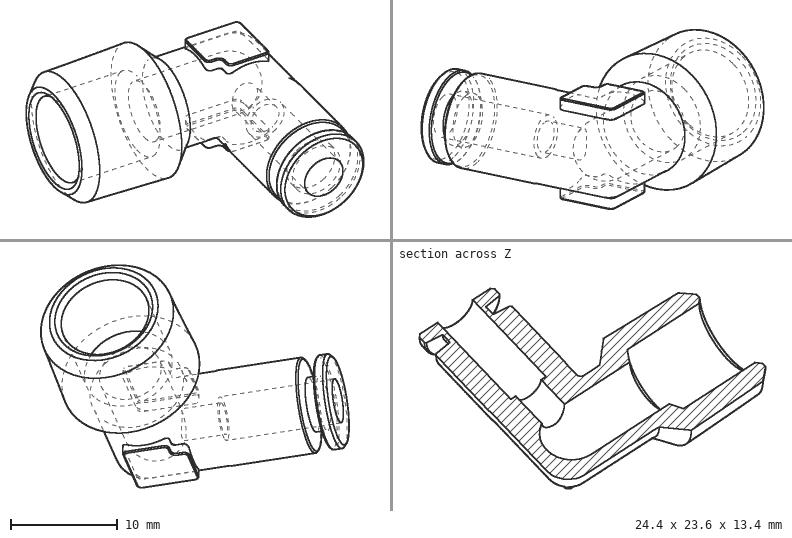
import cadquery as cq
import math


ELBOW_R = 9.0 / 2
OUTER_CORNER_R = 2.49
INNER_CORNER_R = 0.49
MITRE_BAND_Z = 4.44

COLLAR_R = 4.53
COLLAR_START_Y = -6.55
COLLAR_END_Y = -6.88
THREAD_LARGE_R = 6.68
THREAD_SMALL_R = 6.44
THREAD_START_Y = COLLAR_END_Y - (THREAD_LARGE_R - COLLAR_R)
THREAD_END_Y = -19.0
THREAD_CHAMFER_LENGTH = 1.25
THREAD_FACE_R = 5.27

SLEEVE_R = 9.1 / 2
SLEEVE_START_X = 6.58
SLEEVE_LEAD_IN = 0.2
SLEEVE_END_X = 15.0
SLEEVE_CHAMFER = 0.17
SLEEVE_FACE_RISE = 0.22
BUTTON_NECK_R = 5.2 / 2
BUTTON_R = 9.0 / 2
BUTTON_END_X = 17.7
BUTTON_LENGTH = 1.22
BUTTON_EDGE = 0.15
BUTTON_CHAMFER = 0.3
BUTTON_FACE_RISE = 0.2

FLOW_R = 6.0 / 2
ENTRY_R = 8.5 / 2
ENTRY_CHAMFER = 0.49
ENTRY_END_Y = -10.0
ENTRY_CONE_ANGLE = 60
FLOW_START_Y = ENTRY_END_Y + (ENTRY_R - FLOW_R) / math.tan(math.radians(ENTRY_CONE_ANGLE))
TUBE_R = 4.15 / 2
TUBE_STOP_X = SLEEVE_START_X
PORT_R = 3.0 / 2

PAD_SIZE = 6.0
PAD_NEAR = 2.25
PAD_NOTCH = 1.5
PAD_CORNER_R = 0.49
PAD_BOTTOM_Z = 3.9
PAD_TOP_Z = 5.02
PAD_EDGE_CHAMFER = 0.12


def revolve_about_y(points):
    """Revolve a closed (radius, y) profile about the thread axis."""
    return cq.Workplane("XY").polyline(points).close().revolve(360, (0, 0), (0, 1))


def revolve_about_x(points):
    """Revolve a closed (x, radius) profile about the tube axis."""
    return cq.Workplane("XY").polyline(points).close().revolve(360, (0, 0), (1, 0))


def mitred_elbow():
    """Two equal cylinders meeting on a diagonal plane, with rounded mitre edges."""
    reach_x = SLEEVE_START_X
    reach_y = -COLLAR_START_Y
    overrun = 2 * ELBOW_R
    tube_leg = cq.Workplane("YZ", origin=(-overrun, 0, 0)).circle(ELBOW_R).extrude(overrun + reach_x)
    thread_leg = cq.Workplane("XZ", origin=(0, overrun, 0)).circle(ELBOW_R).extrude(overrun + reach_y)
    far = 4 * ELBOW_R
    tube_side = (
        cq.Workplane("XY", origin=(0, 0, -far))
        .polyline([(-far, far), (far, far), (far, -far)])
        .close()
        .extrude(2 * far)
    )
    elbow = tube_leg.intersect(tube_side).union(thread_leg.cut(tube_side))
    band = cq.Workplane("XY").box(2 * far, 2 * far, 2 * MITRE_BAND_Z)
    rounded = elbow.intersect(band)
    rounded = rounded.edges("%ELLIPSE").edges("<X").fillet(OUTER_CORNER_R)
    rounded = rounded.edges("%ELLIPSE").edges(">X").fillet(INNER_CORNER_R)
    crowns = elbow.cut(band)
    return rounded.union(crowns)


def threaded_end():
    return revolve_about_y([
        (0, COLLAR_START_Y),
        (ELBOW_R, COLLAR_START_Y),
        (COLLAR_R, COLLAR_END_Y),
        (THREAD_LARGE_R, THREAD_START_Y),
        (THREAD_SMALL_R, THREAD_END_Y + THREAD_CHAMFER_LENGTH),
        (THREAD_FACE_R, THREAD_END_Y),
        (0, THREAD_END_Y),
    ])


def tube_end():
    button_start = BUTTON_END_X - BUTTON_LENGTH
    return revolve_about_x([
        (SLEEVE_START_X, 0),
        (SLEEVE_START_X, ELBOW_R),
        (SLEEVE_START_X + SLEEVE_LEAD_IN, SLEEVE_R),
        (SLEEVE_END_X - SLEEVE_CHAMFER, SLEEVE_R),
        (SLEEVE_END_X, SLEEVE_R - SLEEVE_CHAMFER),
        (SLEEVE_END_X + SLEEVE_FACE_RISE, BUTTON_NECK_R),
        (button_start - BUTTON_FACE_RISE, BUTTON_NECK_R),
        (button_start, BUTTON_R - BUTTON_EDGE),
        (button_start + BUTTON_EDGE, BUTTON_R),
        (BUTTON_END_X - BUTTON_CHAMFER, BUTTON_R),
        (BUTTON_END_X, BUTTON_R - BUTTON_CHAMFER),
        (BUTTON_END_X, 0),
    ])


def upper_pad():
    far_side = PAD_SIZE - PAD_NEAR
    notch_side = far_side - PAD_NOTCH
    return (
        cq.Workplane("XY", origin=(0, 0, PAD_BOTTOM_Z))
        .polyline([
            (-PAD_NEAR, PAD_NEAR),
            (far_side, PAD_NEAR),
            (far_side, -notch_side),
            (notch_side, -notch_side),
            (notch_side, -far_side),
            (-PAD_NEAR, -far_side),
        ])
        .close()
        .extrude(PAD_TOP_Z - PAD_BOTTOM_Z)
        .edges("|Z")
        .fillet(PAD_CORNER_R)
        .faces(">Z")
        .edges()
        .chamfer(PAD_EDGE_CHAMFER)
    )


def passage():
    """Stepped thread bore with a round end, narrow port and tube socket."""
    thread_bore = revolve_about_y([
        (0, THREAD_END_Y),
        (ENTRY_R + ENTRY_CHAMFER, THREAD_END_Y),
        (ENTRY_R, THREAD_END_Y + ENTRY_CHAMFER),
        (ENTRY_R, ENTRY_END_Y),
        (FLOW_R, FLOW_START_Y),
        (FLOW_R, 0),
        (0, 0),
    ])
    round_end = cq.Workplane("XY").sphere(FLOW_R)
    port = cq.Workplane("YZ").circle(PORT_R).extrude(TUBE_STOP_X)
    socket_depth = BUTTON_END_X - TUBE_STOP_X
    tube_socket = cq.Workplane("YZ", origin=(TUBE_STOP_X, 0, 0)).circle(TUBE_R).extrude(socket_depth)
    return thread_bore.union(round_end).union(port).union(tube_socket)


pad = upper_pad()
outside = mitred_elbow().union(threaded_end()).union(tube_end()).union(pad).union(pad.mirror("XY"))
result = outside.cut(passage())